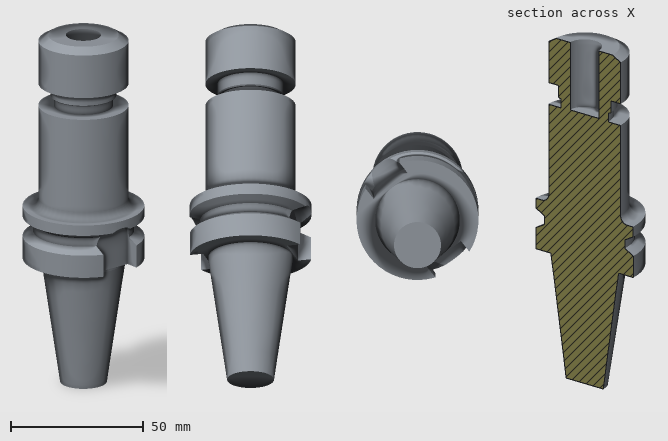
import cadquery as cq
import math

total_height = 138.4

taper_end_radius = 8.9
taper_height = 48.5
taper_slope = 7 / 48
taper_top_radius = taper_end_radius + taper_slope * taper_height

flange_radius = 23.0
flange_bottom = 49.4
flange_top = 70.3
groove_radius = 19.1
groove_floor_bottom = 60.5
groove_floor_top = 64.0
groove_wall_angle = math.radians(30)
groove_wall_rise = (flange_radius - groove_radius) * math.tan(groove_wall_angle)

body_radius = 17.0
body_top = 110.5
body_fillet = 3.0
neck_radius = 11.2
collar_radius = 12.5
collar_bottom = 114.0
collar_chamfer = 0.4

nut_radius = body_radius
nut_bottom = 119.2
nut_face_radius = 13.3
nut_chamfer_height = 2.2
bore_radius = 6.6
bore_depth = 27.7

slot_width = 16.2
slot_top = 67.4
slot_floor = 16.3


def make_turned_body():
    """Revolve the half profile, drawn as radius against height, around Z."""
    fillet_middle = body_fillet * (1 - math.sqrt(0.5))
    profile = (
        cq.Workplane("XZ")
        .lineTo(taper_end_radius, 0)
        .lineTo(taper_top_radius, taper_height)
        .lineTo(taper_top_radius, flange_bottom)
        .lineTo(flange_radius, flange_bottom)
        .lineTo(flange_radius, groove_floor_bottom - groove_wall_rise)
        .lineTo(groove_radius, groove_floor_bottom)
        .lineTo(groove_radius, groove_floor_top)
        .lineTo(flange_radius, groove_floor_top + groove_wall_rise)
        .lineTo(flange_radius, flange_top)
        .lineTo(body_radius + body_fillet, flange_top)
        .threePointArc(
            (body_radius + fillet_middle, flange_top + fillet_middle),
            (body_radius, flange_top + body_fillet),
        )
        .lineTo(body_radius, body_top)
        .lineTo(neck_radius, body_top)
        .lineTo(neck_radius, collar_bottom)
        .lineTo(collar_radius - collar_chamfer, collar_bottom)
        .lineTo(collar_radius, collar_bottom + collar_chamfer)
        .lineTo(collar_radius, nut_bottom)
        .lineTo(nut_radius, nut_bottom)
        .lineTo(nut_radius, total_height - nut_chamfer_height)
        .lineTo(nut_face_radius, total_height)
        .lineTo(0, total_height)
        .close()
    )
    return profile.revolve(360, (0, 0, 0), (0, 1, 0))


def make_bore():
    """Blind bore entering from the nut face."""
    return (
        cq.Workplane("XY", origin=(0, 0, total_height - bore_depth))
        .circle(bore_radius)
        .extrude(bore_depth)
    )


def make_drive_slot(side):
    """Round-topped slot, open at the flange underside; side is -1 or +1 along X."""
    half_width = slot_width / 2
    arc_center = slot_top - half_width
    return (
        cq.Workplane("YZ", origin=(side * slot_floor, 0, 0))
        .moveTo(-half_width, flange_bottom)
        .lineTo(-half_width, arc_center)
        .threePointArc((0, slot_top), (half_width, arc_center))
        .lineTo(half_width, flange_bottom)
        .close()
        .extrude(side * flange_radius)
    )


result = make_turned_body().cut(make_bore())
for slot_side in (-1, 1):
    result = result.cut(make_drive_slot(slot_side))